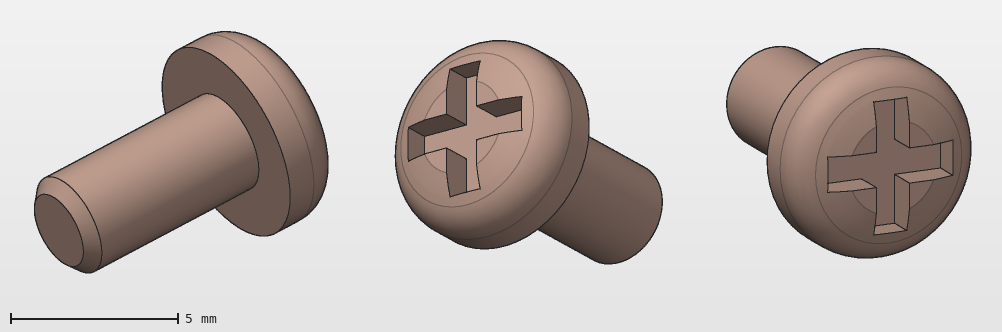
import cadquery as cq
import math

total_length = 8.58
head_diameter = 6.22
shank_diameter = 3.175
head_height = 2.22
rim_height = 0.9
tip_chamfer = 0.395

shoulder_radius = 1.115
dome_edge_radius = 2.43
flat_top_radius = 1.46

recess_width = 1.1
recess_span = 4.15
recess_depth = 1.03

head_radius = head_diameter / 2
shank_radius = shank_diameter / 2
shank_length = total_length - head_height


def arc_point(center, radius, angle):
    """Point on a circle, with the angle measured from the radial direction."""
    return (center[0] + radius * math.cos(angle), center[1] + radius * math.sin(angle))


def make_body():
    """Head and shank as one revolved profile in (radius, Y)."""
    shoulder_center = (head_radius - shoulder_radius, rim_height)
    shoulder_angle = math.acos((dome_edge_radius - shoulder_center[0]) / shoulder_radius)
    shoulder_middle = arc_point(shoulder_center, shoulder_radius, shoulder_angle / 2)
    dome_edge = arc_point(shoulder_center, shoulder_radius, shoulder_angle)

    return (
        cq.Workplane("XY")
        .moveTo(0, -shank_length)
        .lineTo(shank_radius - tip_chamfer, -shank_length)
        .lineTo(shank_radius, -shank_length + tip_chamfer)
        .lineTo(shank_radius, 0)
        .lineTo(head_radius, 0)
        .lineTo(head_radius, rim_height)
        .threePointArc(shoulder_middle, dome_edge)
        .tangentArcPoint((flat_top_radius, head_height), relative=False)
        .lineTo(0, head_height)
        .close()
        .revolve(360, (0, 0, 0), (0, 1, 0))
    )


def make_cross_recess():
    """Two crossed bars reaching from the recess floor to the top of the head."""
    floor_y = head_height - recess_depth
    bar_x = cq.Workplane("XY").box(recess_span, recess_depth, recess_width)
    bar_z = cq.Workplane("XY").box(recess_width, recess_depth, recess_span)
    return bar_x.union(bar_z).translate((0, floor_y + recess_depth / 2, 0))


result = make_body().cut(make_cross_recess())